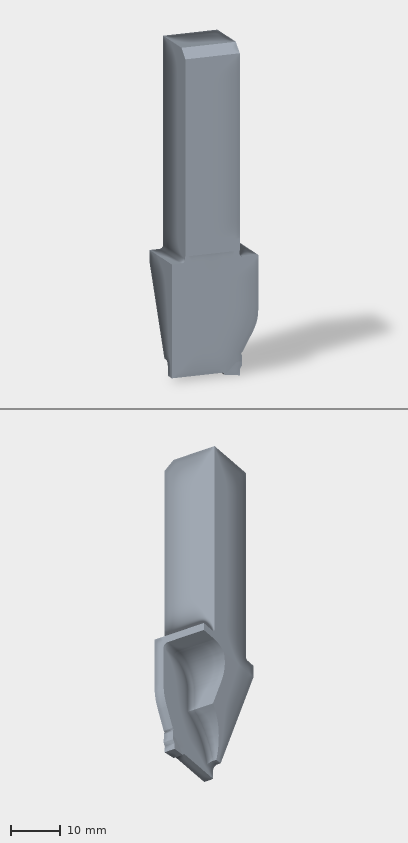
import cadquery as cq
import math

total_length = 70.0
shank_width = 12.0
head_thickness = 11.8
head_back_y = -2.95
head_front_y = 16.1
head_top_z = 25.0
shank_fillet = 0.8
shank_step_z = 26.4
top_chamfer_x = 2.1
top_chamfer_z = 1.9

blade_left_x = 9.65
blade_bottom_z = 0.9
blade_center_x = (blade_left_x + head_thickness) / 2
blade_half = (head_thickness - blade_left_x) / 2
nose_radius = 9.1
nose_corner_z = 11.0
nose_end_y = 12.6
nose_end_z = 4.8

slope_start_z = 22.2
slope_end_x = 7.85
slope_end_z = 4.1

pocket_top_z = 23.3
pocket_inner_y = 5.9
pocket_corner_radius = 6.15
pocket_arc_top_z = 12.5
pocket_arc_bottom_y = -1.3
pocket_ledge_z = 4.05
pocket_arc_radius = 13.3
pocket_floor_fillet = 1.0
selection_margin = 0.35
clearance = 3.5

insert_tip = (12.05, 0.0)
insert_heel = (8.3, blade_bottom_z)
insert_outline = [
    (6.6, 10.15),
    (9.5, 10.15),
    (11.0, 8.55),
    (12.355, 4.5),
    (12.5, 4.05),
    (12.5, 2.1),
    (12.05, 1.3),
    insert_tip,
    (8.75, 0.35),
    insert_heel,
    (5.705, 8.3),
]
insert_corner_end = (5.7, 9.25)
insert_corner_mid = (5.95, 9.8)
flare_top = (11.35, 2.9)
flare_bottom = (9.2, 0.85)
tip_flare = 0.15


def prism(outline, x_start, x_end):
    """Extrude a closed outline in the YZ plane between two X positions."""
    return outline.extrude(x_end - x_start).translate((x_start, 0, 0))


def make_shank():
    shank = cq.Workplane("XY").box(
        shank_width, shank_width, total_length - head_top_z, centered=False
    ).translate((0, 0, head_top_z))
    chamfer = (
        cq.Workplane("XZ")
        .moveTo(shank_width, total_length)
        .lineTo(shank_width - top_chamfer_x, total_length)
        .lineTo(shank_width, total_length - top_chamfer_z)
        .close()
        .extrude(-shank_width)
    )
    step = cq.Workplane("XY").box(
        shank_width - head_thickness, shank_width, shank_step_z - head_top_z, centered=False
    ).translate((head_thickness, 0, head_top_z))
    return shank.cut(chamfer).cut(step)


def make_head_block():
    nose_start = (head_front_y, nose_corner_z)
    outline = (
        cq.Workplane("YZ")
        .moveTo(head_back_y, blade_bottom_z)
        .lineTo(head_back_y, head_top_z)
        .lineTo(head_front_y, head_top_z)
        .lineTo(*nose_start)
        .lineTo(nose_end_y, nose_end_z)
        .lineTo(insert_heel[0], blade_bottom_z)
        .close()
    )
    block = prism(outline, 0, head_thickness)
    nose_edge = cq.selectors.BoxSelector(
        (-clearance, head_front_y - selection_margin, nose_corner_z - selection_margin),
        (head_thickness + clearance, head_front_y + selection_margin, nose_corner_z + selection_margin),
    )
    return block.edges(nose_edge).fillet(nose_radius)


def make_shank_fillet(face_y, outward):
    """Concave fillet between the head top and a side face of the shank."""
    shift = shank_fillet * (1 - math.sqrt(0.5))
    outer_y = face_y + outward * shank_fillet
    outline = (
        cq.Workplane("YZ")
        .moveTo(face_y, head_top_z)
        .lineTo(outer_y, head_top_z)
        .threePointArc(
            (face_y + outward * shift, head_top_z + shift),
            (face_y, head_top_z + shank_fillet),
        )
        .close()
    )
    return prism(outline, 0, head_thickness)


def make_slope_cut():
    run_per_drop = slope_end_x / (slope_start_z - slope_end_z)
    return (
        cq.Workplane("XZ")
        .moveTo(0, slope_start_z)
        .lineTo((slope_start_z - pocket_ledge_z) * run_per_drop, pocket_ledge_z)
        .lineTo(0, pocket_ledge_z)
        .close()
        .extrude(-(head_front_y - head_back_y))
        .translate((0, head_back_y, 0))
    )


def make_pocket():
    corner_y = pocket_inner_y + pocket_corner_radius
    corner_z = pocket_top_z - pocket_corner_radius
    corner_shift = pocket_corner_radius * math.sqrt(0.5)
    outer_y = head_front_y + clearance
    outline = (
        cq.Workplane("YZ")
        .moveTo(outer_y, pocket_top_z)
        .lineTo(corner_y, pocket_top_z)
        .threePointArc(
            (corner_y - corner_shift, corner_z + corner_shift),
            (pocket_inner_y, corner_z),
        )
        .lineTo(pocket_inner_y, pocket_arc_top_z)
        .radiusArc((pocket_arc_bottom_y, pocket_ledge_z), -pocket_arc_radius)
        .lineTo(head_back_y - clearance, pocket_ledge_z)
        .lineTo(head_back_y - clearance, -clearance)
        .lineTo(outer_y, -clearance)
        .close()
    )
    pocket = prism(outline, -clearance, blade_left_x)
    return pocket.faces(">X").edges().fillet(pocket_floor_fillet)


def make_insert_prism(half_width):
    outline = (
        cq.Workplane("YZ")
        .polyline(insert_outline)
        .lineTo(*insert_corner_end)
        .threePointArc(insert_corner_mid, insert_outline[0])
        .close()
    )
    return prism(outline, blade_center_x - half_width, blade_center_x + half_width)


def make_insert():
    """Flat insert flush with the blade, its tip flaring on both sides."""
    along_y = flare_top[0] - flare_bottom[0]
    along_z = flare_top[1] - flare_bottom[1]
    length = math.hypot(along_y, along_z)
    depth = (
        (insert_tip[0] - flare_top[0]) * along_z - (insert_tip[1] - flare_top[1]) * along_y
    ) / length
    flare_plane = cq.Plane(
        origin=(blade_center_x, *flare_bottom), xDir=(1, 0, 0), normal=(0, along_y, along_z)
    )
    wide_half = blade_half + tip_flare
    flare = (
        cq.Workplane(flare_plane)
        .moveTo(-blade_half, 0)
        .lineTo(blade_half, 0)
        .lineTo(wide_half, depth)
        .lineTo(-wide_half, depth)
        .close()
        .extrude(2 * length, both=True)
    )
    below_flare_top = cq.Workplane("XY").box(
        shank_width + clearance, 2 * head_front_y, flare_top[1], centered=False
    )
    tip = make_insert_prism(wide_half).intersect(flare).intersect(below_flare_top)
    return make_insert_prism(blade_half).union(tip)


def make_holder(insert):
    """Shank and head in one piece, with a seat that matches the insert."""
    head = make_head_block().cut(make_slope_cut()).cut(make_pocket())
    holder = head.union(make_shank())
    holder = holder.union(make_shank_fillet(0, -1)).union(make_shank_fillet(shank_width, 1))
    return holder.cut(insert)


insert = make_insert()
holder = make_holder(insert)
result = cq.Compound.makeCompound([holder.solids().val(), insert.solids().val()])